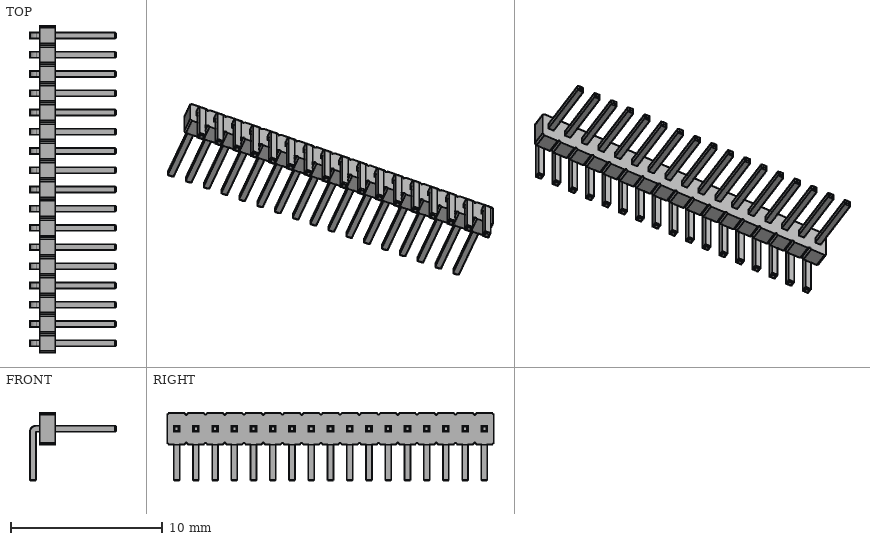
import cadquery as cq


pin_count = 17
strip_length = 21.6
pitch = strip_length / pin_count
housing_depth = 1.04
housing_height = 2.1
corner_cut = 0.13

pin_width = 0.4
bend_radius = pin_width
tip_chamfer = 0.09
pin_span = 5.7
overall_height = 4.5
tail_setback = 0.65

pin_top = pin_width / 2
tail_back = -tail_setback
tip_x = tail_back + pin_span
tail_bottom = housing_height / 2 - overall_height


def housing_cell(y):
    """One cell of the strip; neighbouring corner cuts meet as V grooves."""
    return (
        cq.Workplane("XY")
        .box(housing_depth, pitch, housing_height)
        .edges("|X")
        .chamfer(corner_cut)
        .translate((housing_depth / 2, y, 0))
    )


def bent_pin(y):
    """L-shaped square pin, rounded outside the bend and chamfered at both tips."""
    pin = (
        cq.Workplane("XZ")
        .moveTo(tail_back, tail_bottom)
        .lineTo(tail_back, pin_top - bend_radius)
        .radiusArc((tail_back + bend_radius, pin_top), bend_radius)
        .lineTo(tip_x, pin_top)
        .lineTo(tip_x, -pin_top)
        .lineTo(tail_back + pin_width, -pin_top)
        .lineTo(tail_back + pin_width, tail_bottom)
        .close()
        .extrude(pin_width / 2, both=True)
    )
    pin = pin.faces(">X").chamfer(tip_chamfer)
    pin = pin.faces("<Z").chamfer(tip_chamfer)
    return pin.translate((0, y, 0))


first_y = (pitch - strip_length) / 2
cell_centers = [first_y + i * pitch for i in range(pin_count)]

result = housing_cell(cell_centers[0])
for y in cell_centers[1:]:
    result = result.union(housing_cell(y))
for y in cell_centers:
    result = result.union(bent_pin(y))
result = result.clean()